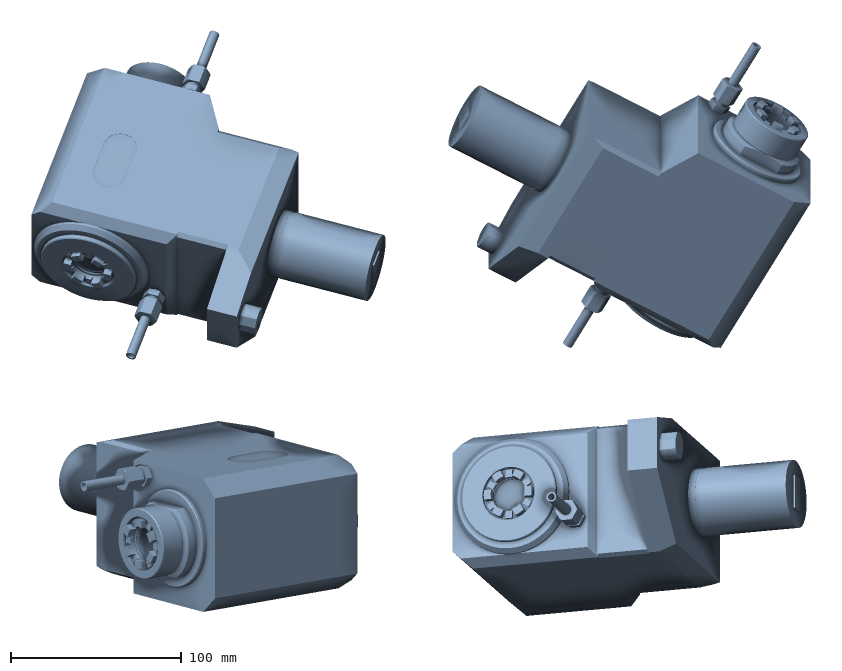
import cadquery as cq
import math


HALF_HEIGHT = 40.0
BLOCK_LEFT = -137.0
BLOCK_FRONT = -45.0
BLOCK_REAR = 62.3
BLOCK_RIGHT_REAR = -61.5
NECK_LEFT = -49.0
NECK_HALF_WIDTH = 40.4
NECK_BEVEL_Y = 2.6
NECK_BEVEL_Z = 1.9
LEFT_BEVEL_X = 11.0
LEFT_BEVEL_Z = 10.0
FRONT_BEVEL = 5.2
END_BEVEL_X = 11.4
END_BEVEL_Z = 2.9

LEG_THICKNESS = 18.3
LEG_END = -79.0
LEG_ROOT = -40.0
LEG_TIP_TOP = 30.0
LEG_TIP_BOTTOM = LEG_ROOT - LEG_END - HALF_HEIGHT
LEG_OVERLAP = 5.0

PIN_DIAMETER = 16.0
PIN_FLATS = 14.0
PIN_LENGTH = 10.0
PIN_Y = -67.8
PIN_Z = 15.0
PIN_FLAT_ANGLE = 30.0

SHANK_DIAMETER = 40.0
SHANK_LENGTH = 60.0
GROOVE_START = 4.2
GROOVE_WIDTH = 2.6
GROOVE_DEPTH = 0.2
TANG_WIDTH = 11.0
TANG_HEIGHT = 20.0
TANG_LENGTH = 1.0

SPINDLE_X = -100.0
CAP_DIAMETER = 58.0
CAP_EDGE = 0.5
COVER_DIAMETER = 70.0
COVER_RIM = 1.5
COVER_TAPER = 2.7
COVER_BEVEL = 2.5
CAP_GROOVE_WIDTH = 0.8
CAP_GROOVE_DEPTH = 0.5
FRONT_CAP_LENGTH = 2.4
REAR_CAP_LENGTH = 3.1
COLLAR_DIAMETER = 48.0
COLLAR_FLATS = 41.0
COLLAR_LENGTH = 7.7
COLLAR_BEVEL_LENGTH = 1.5
SPINDLE_NUT_DIAMETER = 42.0
SPINDLE_NUT_LENGTH = 15.3

SEAT_DIAMETER = 32.2
SEAT_FLOOR_BEVEL = 0.4
SEAT_DEPTH = 2.5
COLLET_DIAMETER = 29.5
COLLET_BORE = 20.9
COLLET_BORE_DEPTH = 15.0
BORE_GROOVE_DIAMETER = 23.0
BORE_GROOVE_WIDTH = 1.0
BORE_GROOVE_DEPTHS = (4.0, 6.0)
TOOTH_COUNT = 6
TOOTH_WIDTH = 5.8
TOOTH_PROTRUSION = 1.8
LOW_TOOTH_WIDTH = 3.6
LOW_TOOTH_HEIGHT = 1.5

FRONT_FITTING_XZ = (-60.8, -17.0)
REAR_FITTING_XZ = (-73.9, 33.0)
FITTING_NECK_DIAMETER = 8.92
BASE_HEX_FLATS = 11.0
BASE_HEX_START = 1.2
BASE_HEX_END = 5.0
FITTING_NUT_FLATS = 12.0
FITTING_NUT_START = 7.6
FITTING_NUT_END = 19.2
HEX_EDGE = 0.5
TUBE_DIAMETER = 6.0
TUBE_BORE = 4.0
FRONT_TUBE_END = -92.5
REAR_TUBE_END = 110.0

BADGE_LENGTH = 40.0
BADGE_WIDTH = 20.0
BADGE_DEPTH = 0.3

OVERLAP = 1.0


def corner_diameter(flats):
    return flats / math.cos(math.pi / 6)


def prism_along_y(points_xz, y_min, y_max):
    """Extrude an X-Z outline between two Y positions."""
    return cq.Workplane("XZ", origin=(0, y_max, 0)).polyline(points_xz).close().extrude(y_max - y_min)


def prism_along_x(points_yz, x_min, x_max):
    """Extrude a Y-Z outline between two X positions."""
    return cq.Workplane("YZ", origin=(x_min, 0, 0)).polyline(points_yz).close().extrude(x_max - x_min)


def rod_x(diameter, x_min, x_max):
    return cq.Workplane("YZ", origin=(x_min, 0, 0)).circle(diameter / 2).extrude(x_max - x_min)


def pole(diameter, start, end):
    """Cylinder on the Z axis."""
    return cq.Workplane("XY", origin=(0, 0, start)).circle(diameter / 2).extrude(end - start)


def hexagon(flats, start, end):
    """Hexagonal prism on the Z axis with two corners on X."""
    return cq.Workplane("XY", origin=(0, 0, start)).polygon(6, corner_diameter(flats)).extrude(end - start)


def facing(solid, x, y, z, direction):
    """Turn a feature built along +Z to point along +Y or -Y and move it into place."""
    return solid.rotate((0, 0, 0), (1, 0, 0), -90 * direction).translate((x, y, z))


def both_ways_up(solid):
    return solid.union(solid.mirror("XY"))


def make_block():
    outline = [
        (BLOCK_LEFT, BLOCK_FRONT),
        (NECK_LEFT - (LEG_ROOT - BLOCK_FRONT), BLOCK_FRONT),
        (NECK_LEFT, LEG_ROOT),
        (NECK_LEFT, NECK_HALF_WIDTH),
        (BLOCK_RIGHT_REAR, BLOCK_REAR),
        (BLOCK_LEFT, BLOCK_REAR),
    ]
    block = (
        cq.Workplane("XY", origin=(0, 0, -HALF_HEIGHT)).polyline(outline).close().extrude(2 * HALF_HEIGHT)
    )
    left_wedge = prism_along_y(
        [
            (BLOCK_LEFT, HALF_HEIGHT),
            (BLOCK_LEFT + LEFT_BEVEL_X, HALF_HEIGHT),
            (BLOCK_LEFT, HALF_HEIGHT - LEFT_BEVEL_Z),
        ],
        BLOCK_FRONT,
        BLOCK_REAR,
    )
    front_wedge = prism_along_x(
        [
            (BLOCK_FRONT, HALF_HEIGHT),
            (BLOCK_FRONT + FRONT_BEVEL, HALF_HEIGHT),
            (BLOCK_FRONT, HALF_HEIGHT - FRONT_BEVEL),
        ],
        BLOCK_LEFT,
        NECK_LEFT,
    )
    return block.cut(both_ways_up(left_wedge)).cut(both_ways_up(front_wedge))


def make_neck_and_leg():
    side = NECK_HALF_WIDTH
    shoulder = NECK_HALF_WIDTH - NECK_BEVEL_Y
    step = HALF_HEIGHT - NECK_BEVEL_Z
    neck = prism_along_x(
        [
            (-shoulder, -HALF_HEIGHT),
            (shoulder, -HALF_HEIGHT),
            (side, -step),
            (side, step),
            (shoulder, HALF_HEIGHT),
            (-shoulder, HALF_HEIGHT),
            (-side, step),
            (-side, -step),
        ],
        NECK_LEFT - OVERLAP,
        0,
    )
    leg = prism_along_x(
        [
            (LEG_ROOT + LEG_OVERLAP, HALF_HEIGHT),
            (LEG_ROOT, HALF_HEIGHT),
            (LEG_END, LEG_TIP_TOP),
            (LEG_END, LEG_TIP_BOTTOM),
            (LEG_ROOT, -HALF_HEIGHT),
            (LEG_ROOT + LEG_OVERLAP, -HALF_HEIGHT),
        ],
        -LEG_THICKNESS,
        0,
    )
    end_wedge = prism_along_y(
        [(-END_BEVEL_X, HALF_HEIGHT), (0, HALF_HEIGHT), (0, HALF_HEIGHT - END_BEVEL_Z)],
        LEG_END,
        NECK_HALF_WIDTH,
    )
    return neck.union(leg).cut(both_ways_up(end_wedge))


def make_shank():
    shank = rod_x(SHANK_DIAMETER, -OVERLAP, SHANK_LENGTH)
    groove_end = GROOVE_START + GROOVE_WIDTH
    groove = rod_x(SHANK_DIAMETER, GROOVE_START, groove_end).cut(
        rod_x(SHANK_DIAMETER - 2 * GROOVE_DEPTH, GROOVE_START, groove_end)
    )
    tang_reach = TANG_LENGTH + OVERLAP
    tang = cq.Workplane("XY").box(tang_reach, TANG_WIDTH, TANG_HEIGHT)
    tang = tang.translate((SHANK_LENGTH - OVERLAP + tang_reach / 2, 0, 0))
    return shank.cut(groove).union(tang)


def make_pin():
    pin = rod_x(PIN_DIAMETER, -OVERLAP, PIN_LENGTH)
    for angle in (0, PIN_FLAT_ANGLE):
        flats = cq.Workplane("XY").box(4 * PIN_LENGTH, PIN_FLATS, 2 * PIN_DIAMETER)
        pin = pin.intersect(flats.rotate((0, 0, 0), (1, 0, 0), -angle))
    return pin.translate((0, PIN_Y, PIN_Z))


def radial_bar(width, start, end, angle):
    """Bar that runs outward from the Z axis at the given angle."""
    bar = cq.Workplane("XY", origin=(COLLET_DIAMETER / 2, 0, start)).rect(COLLET_DIAMETER, width)
    return bar.extrude(end - start).rotate((0, 0, 0), (0, 0, 1), angle)


def cut_collet_seat(carrier, face, first_tooth_angle):
    """Sink a collet with its ring of teeth into the flat end of a part on the Z axis."""
    seat_floor = face - SEAT_DEPTH
    seat = pole(SEAT_DIAMETER, seat_floor, face).faces("<Z").edges().chamfer(SEAT_FLOOR_BEVEL)
    ring = pole(COLLET_DIAMETER, seat_floor - OVERLAP, face + TOOTH_PROTRUSION)
    teeth = None
    for index in range(TOOTH_COUNT):
        angle = first_tooth_angle + index * 360 / TOOTH_COUNT
        tall = radial_bar(TOOTH_WIDTH, seat_floor - OVERLAP, face + TOOTH_PROTRUSION, angle)
        low_angle = angle + 180 / TOOTH_COUNT
        low = radial_bar(LOW_TOOTH_WIDTH, seat_floor - OVERLAP, seat_floor + LOW_TOOTH_HEIGHT, low_angle)
        pair = tall.union(low)
        teeth = pair if teeth is None else teeth.union(pair)
    bore = pole(COLLET_BORE, face - COLLET_BORE_DEPTH, face + 2 * TOOTH_PROTRUSION)
    seated = carrier.cut(seat).union(ring.intersect(teeth)).cut(bore)
    for depth in BORE_GROOVE_DEPTHS:
        groove_top = face - depth
        seated = seated.cut(pole(BORE_GROOVE_DIAMETER, groove_top - BORE_GROOVE_WIDTH, groove_top))
    return seated


def make_front_spindle():
    radius = COVER_DIAMETER / 2
    cover_top = COVER_RIM + COVER_TAPER
    cap_start = cover_top + CAP_GROOVE_WIDTH
    face = cap_start + FRONT_CAP_LENGTH
    cover = (
        cq.Workplane("XZ")
        .polyline(
            [
                (0, -COLLET_BORE_DEPTH),
                (radius - COVER_BEVEL, -COLLET_BORE_DEPTH),
                (radius - COVER_BEVEL, 0),
                (radius, 0),
                (radius, COVER_RIM),
                (radius - COVER_BEVEL, cover_top),
                (0, cover_top),
            ]
        )
        .close()
        .revolve(360, (0, 0, 0), (0, 1, 0))
    )
    groove_floor = pole(CAP_DIAMETER - 2 * CAP_GROOVE_DEPTH, cover_top - OVERLAP, cap_start + OVERLAP)
    cap = pole(CAP_DIAMETER, cap_start, face).faces(">Z").edges().chamfer(CAP_EDGE)
    spindle = cut_collet_seat(cover.union(groove_floor).union(cap), face, 0)
    return facing(spindle, SPINDLE_X, BLOCK_FRONT, 0, -1)


def make_rear_spindle():
    cap = pole(CAP_DIAMETER, -OVERLAP, REAR_CAP_LENGTH).faces(">Z").edges().chamfer(CAP_EDGE)
    collar_end = REAR_CAP_LENGTH + COLLAR_LENGTH
    collar = (
        pole(COLLAR_DIAMETER, 0, collar_end)
        .faces(">Z")
        .edges()
        .chamfer(COLLAR_BEVEL_LENGTH, (COLLAR_DIAMETER - COLLAR_FLATS) / 2)
    )
    flats = cq.Workplane("XY").box(COLLAR_DIAMETER, COLLAR_FLATS, 2 * collar_end)
    collar = collar.intersect(flats)
    face = collar_end + SPINDLE_NUT_LENGTH
    nut = pole(SPINDLE_NUT_DIAMETER, collar_end, face).faces("|Z").edges().chamfer(CAP_EDGE)
    spindle = cut_collet_seat(cap.union(collar).union(nut), face, 180 / TOOTH_COUNT)
    return facing(spindle, SPINDLE_X, BLOCK_REAR, 0, 1)


def make_fitting(position_xz, block_face, tube_end, direction):
    length = abs(tube_end - block_face)
    neck = pole(FITTING_NECK_DIAMETER, -OVERLAP, FITTING_NUT_START + OVERLAP)
    base_hex = hexagon(BASE_HEX_FLATS, BASE_HEX_START, BASE_HEX_END)
    nut_blank = pole(corner_diameter(FITTING_NUT_FLATS), FITTING_NUT_START, FITTING_NUT_END)
    nut_blank = nut_blank.faces("|Z").edges().chamfer(HEX_EDGE)
    nut = hexagon(FITTING_NUT_FLATS, FITTING_NUT_START, FITTING_NUT_END).intersect(nut_blank)
    tube = pole(TUBE_DIAMETER, FITTING_NUT_START, length)
    bore = pole(TUBE_BORE, FITTING_NUT_END, length)
    fitting = neck.union(base_hex).union(nut).union(tube).cut(bore)
    x, z = position_xz
    return facing(fitting, x, block_face, z, direction)


def make_badge_recess():
    floor = cq.Workplane("XY", origin=(SPINDLE_X, 0, HALF_HEIGHT - BADGE_DEPTH))
    return floor.slot2D(BADGE_LENGTH, BADGE_WIDTH, 90).extrude(BADGE_DEPTH)


result = (
    make_block()
    .union(make_neck_and_leg())
    .cut(make_badge_recess())
    .union(make_shank())
    .union(make_pin())
    .union(make_front_spindle())
    .union(make_rear_spindle())
    .union(make_fitting(FRONT_FITTING_XZ, BLOCK_FRONT, FRONT_TUBE_END, -1))
    .union(make_fitting(REAR_FITTING_XZ, BLOCK_REAR, REAR_TUBE_END, 1))
)